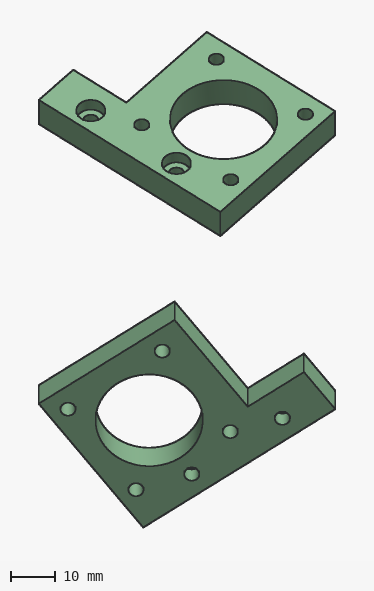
import cadquery as cq

length = 53.0
depth = 40.0
thickness = 8.0
foot_reach = 15.5
foot_depth = 12.0

bore_diameter = 24.0
bore_x = 35.5
bore_y = 22.0
bolt_spacing = 26.0
screw_clearance = 3.4

mount_x_positions = (11.0, 36.0)
mount_y = 5.0
counterbore_diameter = 6.5
counterbore_depth = 3.2


def make_plate():
    """L-shaped plate with its front left corner at the origin."""
    return (
        cq.Workplane("XY")
        .moveTo(0, 0)
        .lineTo(length, 0)
        .lineTo(length, depth)
        .lineTo(foot_reach, depth)
        .lineTo(foot_reach, foot_depth)
        .lineTo(0, foot_depth)
        .close()
        .extrude(thickness)
    )


def top_plane(plate):
    """Workplane on the top face, sharing the X and Y origin of the plate."""
    return plate.faces(">Z").workplane(origin=(0, 0, 0))


def cut_bore(plate):
    return top_plane(plate).center(bore_x, bore_y).hole(bore_diameter)


def cut_bolt_holes(plate):
    return (
        top_plane(plate)
        .center(bore_x, bore_y)
        .rect(bolt_spacing, bolt_spacing, forConstruction=True)
        .vertices()
        .hole(screw_clearance)
    )


def cut_mount_holes(plate):
    mount_points = [(x, mount_y) for x in mount_x_positions]
    return (
        top_plane(plate)
        .pushPoints(mount_points)
        .cboreHole(screw_clearance, counterbore_diameter, counterbore_depth)
    )


result = make_plate()
result = cut_bore(result)
result = cut_bolt_holes(result)
result = cut_mount_holes(result)